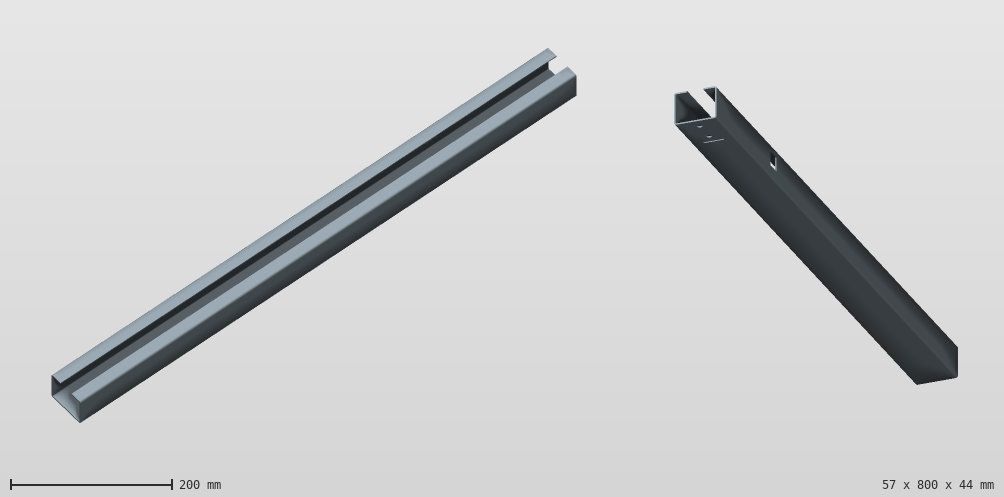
import cadquery as cq

length = 800.0
width = 57.0
height = 44.0
thickness = 2.0
bend_radius = 3.0
mouth_width = 22.0

end_to_holes = (14.0, 46.0)
hole_diameter = 7.6
end_to_floor_slit = 60.0
floor_slit_length = 28.0
floor_slit_width = 2.8

end_to_window = 190.0
end_to_wall_slit = 300.0
window_size = 20.0
wall_slit_width = 1.0
top_to_window_center = 19.0

rear_end = length / 2
floor_z = -height / 2 + thickness / 2
wall_x = -width / 2 + thickness / 2
window_z = height / 2 - top_to_window_center
cut_depth = 2 * thickness


def long_bar(bar_width, bar_height, corner_radius):
    bar = cq.Workplane("XY").box(bar_width, length, bar_height)
    return bar.edges("|Y").fillet(corner_radius)


def make_channel():
    outside = long_bar(width, height, bend_radius)
    inside = long_bar(width - 2 * thickness, height - 2 * thickness, bend_radius - thickness)
    mouth = cq.Workplane("XY").box(mouth_width, length, cut_depth).translate((0, 0, height / 2))
    return outside.cut(inside).cut(mouth)


def floor_hole(end_distance):
    hole = cq.Workplane("XY").cylinder(cut_depth, hole_diameter / 2)
    return hole.translate((0, rear_end - end_distance, floor_z))


def floor_slit():
    slit = cq.Workplane("XY").box(floor_slit_length, floor_slit_width, cut_depth)
    return slit.translate((0, rear_end - end_to_floor_slit, floor_z))


def wall_opening(end_distance, opening_width):
    opening = cq.Workplane("XY").box(cut_depth, opening_width, window_size)
    return opening.translate((wall_x, rear_end - end_distance, window_z))


result = make_channel()
for distance in end_to_holes:
    result = result.cut(floor_hole(distance))
result = result.cut(floor_slit())
result = result.cut(wall_opening(end_to_window, window_size))
result = result.cut(wall_opening(end_to_wall_slit, wall_slit_width))